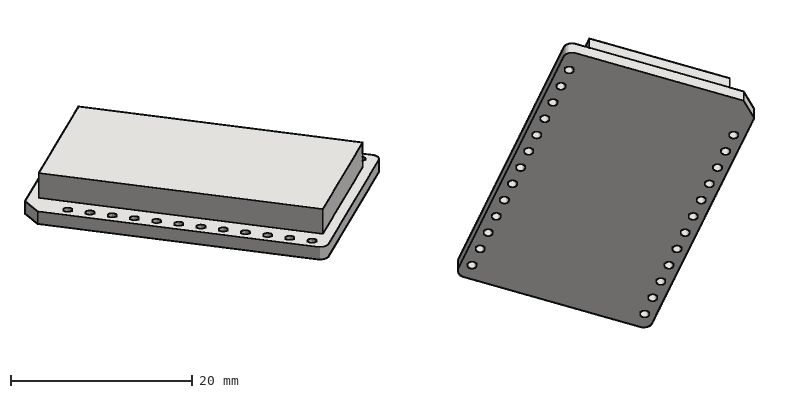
import cadquery as cq

board_length = 35.0
board_width = 22.85
board_thickness = 1.58
corner_radius = 1.0
corner_chamfer = 2.0

total_height = 4.65
cover_length = 32.5
cover_width = 16.55
cover_height = total_height - board_thickness

hole_diameter = 1.0
holes_per_row = 13
row_length = 30.5
row_end_margin = 1.95
row_spacing = 20.35
hole_pitch = row_length / (holes_per_row - 1)
last_hole_x = board_length / 2 - row_end_margin


def make_board():
    """Plate with three rounded corners and one chamfered corner."""
    board = cq.Workplane("XY").box(
        board_length, board_width, board_thickness, centered=(True, True, False)
    )
    board = board.edges("|Z and (>X or >Y)").fillet(corner_radius)
    return board.edges("|Z and <X and <Y").chamfer(corner_chamfer)


def make_cover():
    """Block standing on the board."""
    return cq.Workplane("XY").workplane(offset=board_thickness).box(
        cover_length, cover_width, cover_height, centered=(True, True, False)
    )


def hole_row(y, count):
    """Hole centres at the given Y, counted from the +X end."""
    return [(last_hole_x - i * hole_pitch, y) for i in range(count)]


hole_centres = hole_row(row_spacing / 2, holes_per_row) + hole_row(-row_spacing / 2, holes_per_row - 1)
pin_holes = (
    cq.Workplane("XY")
    .pushPoints(hole_centres)
    .circle(hole_diameter / 2)
    .extrude(board_thickness)
)

result = make_board().cut(pin_holes).union(make_cover())